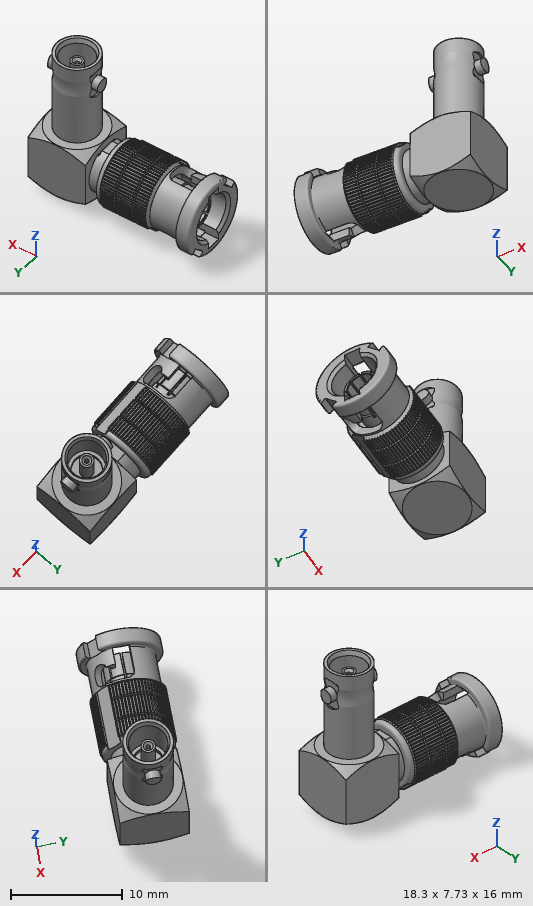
import cadquery as cq
import math


block_size = 6.35
block_half = block_size / 2
block_face_radius = 3.13
block_cone_angle = 30.0

plug_front = -15.075
flange_back = -13.56
knurl_start = -10.27
knurl_full = -10.0
knurl_end = -5.03
collar_start = -4.9
collar_end = -4.36
ring_groove_stations = (-8.63, -6.6)

flange_radius = 3.865
flange_round = 0.2
flange_root_round = 0.1
shell_radius = 3.145
knurl_radius = 3.5
collar_radius = 3.36
collar_round = 0.35
neck_radius = 2.6
neck_flat_height = 2.48
relief_flat_height = 2.25
relief_width = 0.125

tooth_count = 72
tooth_groove_width = 0.15
tooth_root_radius = 3.42
ring_groove_half_width = 0.11

notch_floor = 3.155
notch_width = 1.63
notch_angle = 45.0

socket_radius = 2.33
socket_mouth_chamfer = 0.3
socket_floor = -9.95

track_width = 1.57
track_turn_x = -11.245
track_angle = 45.0
keyway_depth = 3.18
detent_length = 2.07
detent_x = track_turn_x + track_width / 2 - detent_length / 2

collet_tip = -13.6
collet_tip_radius = 1.7
collet_tip_length = 0.57
collet_radius = 1.75
collet_step_x = -11.46
collet_base_radius = 1.86
collet_bore_radius = 1.39
collet_mouth_chamfer = 0.06
collet_floor = -10.3
insulator_radius = 1.12
insulator_recess = 0.5
slit_width = 0.18
slit_end = -11.03
slit_pair_count = 4
pin_tip = -13.19
pin_radius = 0.42
pin_tip_radius = 0.15
pin_taper_length = 0.4

jack_top = 12.175
jack_radius = 2.27
waist_top = 10.6
waist_bottom = 8.83
waist_depth = 0.1
jack_mouth_radius = 1.96
jack_mouth_depth = 0.47
jack_bore_radius = 1.77
jack_floor = jack_top - 4.5
jack_recess_radius = 1.42
jack_recess_depth = 0.5
contact_top = jack_top - 0.95
contact_radius = 0.65
contact_hole_radius = 0.45
contact_hole_core_radius = 0.2
contact_hole_depth = 1.5
contact_lead_in = 0.25

lug_height = 9.72
lug_radius = 0.71
lug_reach = 2.84
lug_flat_distance = 2.07
lug_flat_radius = 1.5

overrun = 1.0


def revolve_x(points):
    """Revolve an (x, radius) outline about the X axis."""
    return cq.Workplane("XY").polyline(points).close().revolve(360, (0, 0, 0), (1, 0, 0))


def revolve_z(points):
    """Revolve a (radius, z) outline about the Z axis."""
    return cq.Workplane("XZ").polyline(points).close().revolve(360, (0, 0, 0), (0, 1, 0))


def cylinder_x(radius, start, end):
    return cq.Workplane("YZ").workplane(offset=start).circle(radius).extrude(end - start)


def cylinder_z(radius, start, end):
    return cq.Workplane("XY").workplane(offset=start).circle(radius).extrude(end - start)


def box_between(x0, x1, y0, y1, z0, z1):
    return cq.Workplane("XY").box(x1 - x0, y1 - y0, z1 - z0, centered=False).translate((x0, y0, z0))


def turn_x(body, angle):
    return body.rotate((0, 0, 0), (1, 0, 0), angle)


def make_block():
    """Cube with its top and bottom corners turned down to a shallow cone."""
    cube = cq.Workplane("XY").box(block_size, block_size, block_size)
    outer = block_size
    drop = (outer - block_face_radius) * math.tan(math.radians(block_cone_angle))
    envelope = revolve_z([
        (0, -block_half),
        (block_face_radius, -block_half),
        (outer, -block_half + drop),
        (outer, block_half - drop),
        (block_face_radius, block_half),
        (0, block_half),
    ])
    return cube.intersect(envelope)


def make_neck():
    """Neck between plug and block, flat on top with a deeper relief beside the block."""
    neck = cylinder_x(neck_radius, collar_end - overrun / 2, -block_half + overrun)
    relief_start = -block_half - relief_width
    flat = box_between(
        collar_end, relief_start, -neck_radius, neck_radius, neck_flat_height, neck_radius + overrun
    )
    relief = box_between(
        relief_start, -block_half, -neck_radius, neck_radius, relief_flat_height, neck_radius + overrun
    )
    return neck.cut(flat).cut(relief)


def make_flange_and_shell():
    """Front flange and the plain shell behind it, with a small root round between them."""
    corner = flange_round * (1 - math.sqrt(0.5))
    root = flange_root_round * (1 - math.sqrt(0.5))
    return (
        cq.Workplane("XY")
        .moveTo(plug_front, 0)
        .lineTo(plug_front, flange_radius - flange_round)
        .threePointArc(
            (plug_front + corner, flange_radius - corner),
            (plug_front + flange_round, flange_radius),
        )
        .lineTo(flange_back - flange_round, flange_radius)
        .threePointArc(
            (flange_back - corner, flange_radius - corner),
            (flange_back, flange_radius - flange_round),
        )
        .lineTo(flange_back, shell_radius + flange_root_round)
        .threePointArc(
            (flange_back + root, shell_radius + root),
            (flange_back + flange_root_round, shell_radius),
        )
        .lineTo(knurl_start + overrun / 2, shell_radius)
        .lineTo(knurl_start + overrun / 2, 0)
        .close()
        .revolve(360, (0, 0, 0), (1, 0, 0))
    )


def make_knurl():
    """Toothed grip, parted by ring grooves as deep as the collar behind it."""
    outline = [(knurl_start, 0), (knurl_start, shell_radius), (knurl_full, knurl_radius)]
    for station in ring_groove_stations:
        outline.append((station - ring_groove_half_width, knurl_radius))
        outline.append((station, collar_radius))
        outline.append((station + ring_groove_half_width, knurl_radius))
    outline.append((knurl_end, knurl_radius))
    outline.append((collar_start, collar_radius))
    outline.append((collar_start, 0))

    pitch = 2 * math.pi / tooth_count
    half_groove = tooth_groove_width / 2 / knurl_radius
    crest_radius = knurl_radius / math.cos(pitch / 2)
    star = []
    for tooth in range(tooth_count):
        root_angle = tooth * pitch
        for radius, angle in (
            (crest_radius, root_angle - half_groove),
            (tooth_root_radius, root_angle),
            (crest_radius, root_angle + half_groove),
        ):
            star.append((radius * math.cos(angle), radius * math.sin(angle)))
    teeth = (
        cq.Workplane("YZ")
        .workplane(offset=knurl_start)
        .polyline(star)
        .close()
        .extrude(collar_start - knurl_start)
    )
    return revolve_x(outline).intersect(teeth)


def make_collar():
    collar = cylinder_x(collar_radius, collar_start, collar_end)
    return collar.faces(">X").edges().fillet(collar_round)


def cut_notches(body):
    """Two opposite flat-bottomed notches through the flange and along the grip."""
    reach = flange_radius + overrun
    for start, end in ((plug_front, flange_back + flange_root_round), (knurl_start, collar_end)):
        notch = box_between(start, end, -notch_width / 2, notch_width / 2, notch_floor, reach)
        for angle in (notch_angle, notch_angle + 180):
            body = body.cut(turn_x(notch, angle))
    return body


def make_socket():
    """Round cavity of the plug with a chamfered mouth."""
    mouth_radius = socket_radius + socket_mouth_chamfer
    return revolve_x([
        (plug_front, 0),
        (plug_front, mouth_radius),
        (plug_front + socket_mouth_chamfer, socket_radius),
        (socket_floor, socket_radius),
        (socket_floor, 0),
    ])


def make_bayonet_track():
    """Keyway from the front, an eighth-turn leg and the detent pocket at its end."""
    half = track_width / 2
    keyway = box_between(plug_front, track_turn_x, -half, half, 0, keyway_depth)
    turn_corner = cq.Workplane("XY").center(track_turn_x, 0).circle(half).extrude(keyway_depth)

    spread = math.radians(track_angle)
    reach = 2 * keyway_depth
    wedge = (
        cq.Workplane("YZ")
        .workplane(offset=track_turn_x - half)
        .polyline([(0, 0), (0, reach), (-reach * math.sin(spread), reach * math.cos(spread))])
        .close()
        .extrude(track_width)
    )
    leg = cylinder_x(keyway_depth, track_turn_x - half, track_turn_x + half).intersect(wedge)

    detent = cq.Workplane("XY").center(detent_x, 0).slot2D(detent_length, track_width).extrude(keyway_depth)
    return keyway.union(turn_corner).union(leg).union(turn_x(detent, track_angle))


def make_collet():
    """Slit spring sleeve inside the plug socket."""
    step = collet_base_radius - collet_radius
    tip_end = collet_tip + collet_tip_length
    crown_x = collet_tip + collet_tip_length / 2
    crown_radius = collet_radius - (collet_radius - collet_tip_radius) / 4
    sleeve = (
        cq.Workplane("XY")
        .moveTo(collet_tip, 0)
        .lineTo(collet_tip, collet_tip_radius)
        .threePointArc((crown_x, crown_radius), (tip_end, collet_radius))
        .lineTo(collet_step_x, collet_radius)
        .lineTo(collet_step_x + step, collet_base_radius)
        .lineTo(socket_floor + overrun, collet_base_radius)
        .lineTo(socket_floor + overrun, 0)
        .close()
        .revolve(360, (0, 0, 0), (1, 0, 0))
    )
    bore = revolve_x([
        (collet_tip, 0),
        (collet_tip, collet_bore_radius + collet_mouth_chamfer),
        (collet_tip + collet_mouth_chamfer, collet_bore_radius),
        (collet_floor, collet_bore_radius),
        (collet_floor, insulator_radius),
        (collet_floor + insulator_recess, insulator_radius),
        (collet_floor + insulator_recess, 0),
    ])
    sleeve = sleeve.cut(bore)

    half = slit_width / 2
    slit = box_between(collet_tip, slit_end, -half, half, -socket_radius, socket_radius)
    for index in range(slit_pair_count):
        sleeve = sleeve.cut(turn_x(slit, index * 180 / slit_pair_count))
    return sleeve


def make_pin():
    """Tapered centre pin of the plug."""
    return revolve_x([
        (pin_tip, 0),
        (pin_tip, pin_tip_radius),
        (pin_tip + pin_taper_length, pin_radius),
        (socket_floor + overrun, pin_radius),
        (socket_floor + overrun, 0),
    ])


def make_jack_barrel():
    """Jack barrel with a shallow concave waist at the lugs."""
    return (
        cq.Workplane("XZ")
        .moveTo(0, block_half - overrun)
        .lineTo(jack_radius, block_half - overrun)
        .lineTo(jack_radius, waist_bottom)
        .threePointArc(
            (jack_radius - waist_depth, (waist_bottom + waist_top) / 2), (jack_radius, waist_top)
        )
        .lineTo(jack_radius, jack_top)
        .lineTo(0, jack_top)
        .close()
        .revolve(360, (0, 0, 0), (0, 1, 0))
    )


def add_lugs(barrel):
    """Round spot-faced flats on both sides, each carrying a lug with a barrel-shaped end."""
    side_plane = cq.Workplane("YZ").center(0, lug_height)
    spot_faces = side_plane.circle(lug_flat_radius).extrude(lug_reach, both=True)
    core = box_between(
        -lug_flat_distance, lug_flat_distance, -jack_radius, jack_radius, 0, jack_top
    )
    lugs = side_plane.circle(lug_radius).extrude(lug_reach, both=True)
    envelope = cylinder_z(lug_reach, waist_bottom - overrun, waist_top + overrun)
    return barrel.cut(spot_faces.cut(core)).union(lugs.intersect(envelope))


def make_jack_bore():
    """Tapered mouth, straight bore and the recess in its floor."""
    return revolve_z([
        (0, jack_top),
        (jack_mouth_radius, jack_top),
        (jack_bore_radius, jack_top - jack_mouth_depth),
        (jack_bore_radius, jack_floor),
        (jack_recess_radius, jack_floor),
        (jack_recess_radius, jack_floor - jack_recess_depth),
        (0, jack_floor - jack_recess_depth),
    ])


def make_jack_contact():
    """Centre contact of the jack with a countersunk pin hole."""
    post = cylinder_z(contact_radius, jack_floor - overrun, contact_top)
    hole = revolve_z([
        (0, contact_top),
        (contact_hole_radius, contact_top),
        (contact_hole_core_radius, contact_top - contact_lead_in),
        (contact_hole_core_radius, contact_top - contact_hole_depth),
        (0, contact_top - contact_hole_depth),
    ])
    return post.cut(hole)


def make_plug():
    shell = make_flange_and_shell().union(make_knurl()).union(make_collar())
    shell = cut_notches(shell).cut(make_socket())
    track = make_bayonet_track()
    for angle in (0, 180):
        shell = shell.cut(turn_x(track, angle))
    return shell.union(make_collet()).union(make_pin())


def make_jack():
    return add_lugs(make_jack_barrel()).cut(make_jack_bore()).union(make_jack_contact())


result = make_plug().union(make_neck()).union(make_block()).union(make_jack())